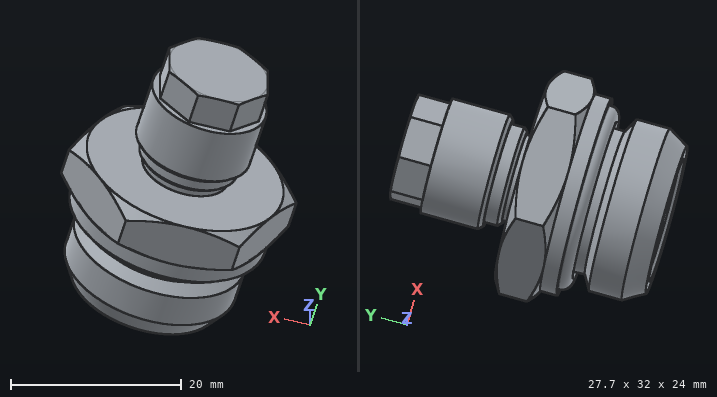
import cadquery as cq
import math

length = 32.0
bevel_end = 2.5
groove_start = 6.5
groove_floor_start = 7.5
washer_front = 10.0
hex_front = 12.0
hex_back = 17.5
collar_front = 18.5
collar_bevel = 0.45
sleeve_front = 20.5
sleeve_bevel = 0.5
sleeve_back = 28.0

nose_radius = 9.0
thread_radius = 10.45
groove_radius = 8.75
neck_radius = 5.25
collar_radius = 6.0
sleeve_radius = 6.98

seal_tube_radius = 1.25
seal_center_radius = 9.95
seal_center_y = 9.9
seat_radius = 11.5
seat_depth = 1.0

recess_mouth_radius = 7.5
recess_bore_radius = 7.0
recess_bevel = recess_mouth_radius - recess_bore_radius
recess_depth = 1.5

hex_flats = 24.0
washer_radius = hex_flats / 2
hex_bevel_angle = 30.0

drive_flats = 12.0
drive_sides = 8
drive_bevel = 0.1


def turned(points):
    """Revolve a closed (radius, y) outline about the Y axis."""
    return cq.Workplane("XY").polyline(points).close().revolve(360, (0, 0), (0, 1))


def disc(radius, start, end):
    return turned([(0, start), (radius, start), (radius, end), (0, end)])


def prism(sides, flats, start, end, turn=0.0):
    """Regular prism along Y; without a turn, one corner points along +X."""
    corner_diameter = flats / math.cos(math.pi / sides)
    body = cq.Workplane("XZ", origin=(0, end, 0)).polygon(sides, corner_diameter).extrude(end - start)
    return body.rotate((0, 0, 0), (0, 1, 0), turn)


def threaded_end():
    body = turned([
        (0, 0),
        (nose_radius, 0),
        (thread_radius, bevel_end),
        (thread_radius, groove_start),
        (groove_radius, groove_floor_start),
        (groove_radius, hex_front),
        (0, hex_front),
    ])
    recess = turned([
        (0, 0),
        (recess_mouth_radius, 0),
        (recess_bore_radius, recess_bevel),
        (recess_bore_radius, recess_depth),
        (0, recess_depth),
    ])
    return body.cut(recess)


def seal_ring():
    section = cq.Workplane("XY").center(seal_center_radius, seal_center_y).circle(seal_tube_radius)
    return section.revolve(360, (-seal_center_radius, 0), (-seal_center_radius, 1))


def washer():
    seat = disc(seat_radius, washer_front, washer_front + seat_depth)
    return disc(washer_radius, washer_front, hex_front).cut(seat)


def hex_flange():
    """Hexagonal prism with its corners turned off conically on both faces."""
    corner_radius = hex_flats / 2 / math.cos(math.pi / 6)
    bevel_depth = (corner_radius - washer_radius) * math.tan(math.radians(hex_bevel_angle))
    envelope = turned([
        (0, hex_front),
        (washer_radius, hex_front),
        (corner_radius, hex_front + bevel_depth),
        (corner_radius, hex_back - bevel_depth),
        (washer_radius, hex_back),
        (0, hex_back),
    ])
    return prism(6, hex_flats, hex_front, hex_back).intersect(envelope)


def rear_stem():
    return turned([
        (0, hex_back),
        (neck_radius, hex_back),
        (neck_radius, collar_front),
        (collar_radius - collar_bevel, collar_front),
        (collar_radius, collar_front + collar_bevel),
        (collar_radius, sleeve_front),
        (sleeve_radius - sleeve_bevel, sleeve_front),
        (sleeve_radius, sleeve_front + sleeve_bevel),
        (sleeve_radius, sleeve_back),
        (0, sleeve_back),
    ])


def octagonal_drive():
    """Octagonal prism with a light bevel on the corners of its end."""
    half_step = 180.0 / drive_sides
    corner_radius = drive_flats / 2 / math.cos(math.radians(half_step))
    envelope = turned([
        (0, sleeve_back),
        (corner_radius, sleeve_back),
        (corner_radius, length - drive_bevel),
        (drive_flats / 2, length),
        (0, length),
    ])
    return prism(drive_sides, drive_flats, sleeve_back, length, half_step).intersect(envelope)


result = (
    threaded_end()
    .union(washer())
    .union(seal_ring())
    .union(hex_flange())
    .union(rear_stem())
    .union(octagonal_drive())
)